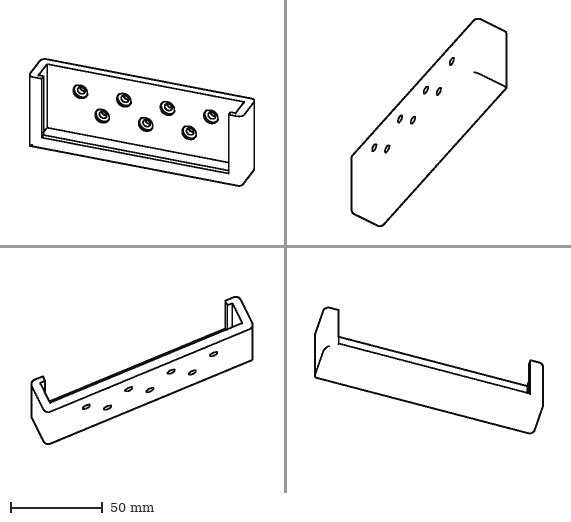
import cadquery as cq

length = 125.0
depth = 21.0
height = 45.0
edge_radius = 3.0

wall = 5.0
front_wall = 3.0
lip = 3.0

hole_diameter = 4.2
counterbore_diameter = 8.2
counterbore_depth = 1.5
hole_pitch = 25.4
row_spacing = hole_pitch / 2
upper_row_z = 31.6
upper_row_count = 4
lower_row_count = upper_row_count - 1

front_y = -depth / 2
cavity_back_y = depth / 2 - wall


def make_body():
    """Block with rounded uprights and bottom edges; the left bottom edge stays sharp."""
    block = cq.Workplane("XY").box(length, depth, height, centered=(True, True, False))
    bottom_edges = cq.selectors.SubtractSelector(
        cq.StringSyntaxSelector("<Z"), cq.StringSyntaxSelector("<X")
    )
    uprights = cq.StringSyntaxSelector("|Z")
    return block.edges(cq.selectors.SumSelector(uprights, bottom_edges)).fillet(edge_radius)


def open_top_cut(side_margin, floor_z, y_start, y_end):
    """Rectangular cutter from floor_z up to the top of the block."""
    return (
        cq.Workplane("XY")
        .box(length - 2 * side_margin, y_end - y_start, height - floor_z, centered=(True, False, False))
        .translate((0, y_start, floor_z))
    )


def row_points(count, z):
    """Evenly pitched hole centres in a row centred on X = 0."""
    return [((i - (count - 1) / 2) * hole_pitch, z) for i in range(count)]


def back_wall_cut(points, diameter, cut_depth):
    """Cylinders cut into the back wall from its inner face, towards +Y."""
    return (
        cq.Workplane("XZ", origin=(0, cavity_back_y, 0))
        .pushPoints(points)
        .circle(diameter / 2)
        .extrude(-cut_depth)
    )


cavity = open_top_cut(wall, wall, front_y + front_wall, cavity_back_y)
window = open_top_cut(wall + lip, wall + lip, front_y, cavity_back_y)

hole_points = row_points(upper_row_count, upper_row_z)
hole_points += row_points(lower_row_count, upper_row_z - row_spacing)

result = (
    make_body()
    .cut(cavity)
    .cut(window)
    .cut(back_wall_cut(hole_points, hole_diameter, wall))
    .cut(back_wall_cut(hole_points, counterbore_diameter, counterbore_depth))
)